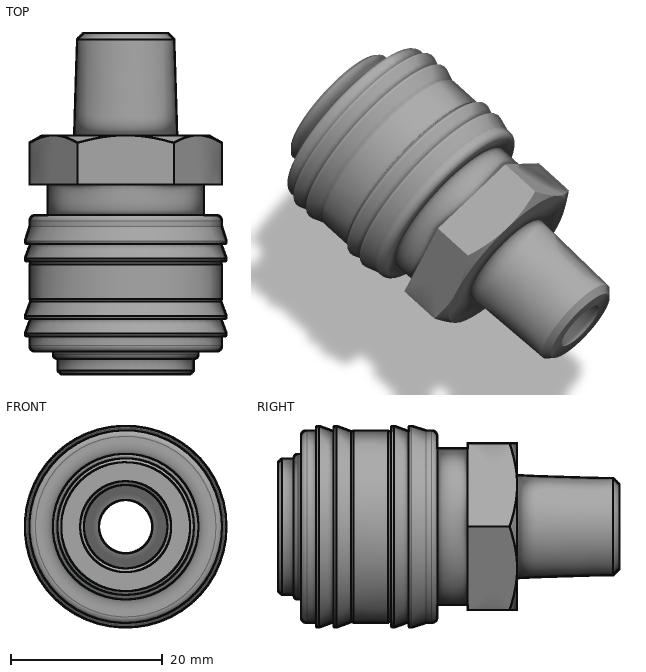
import cadquery as cq
import math


nose_radius = 9.0
nose_chamfer = 0.5
collar_start = 2.05
collar_radius = 9.6
collar_fillet = 0.6

sleeve_start = 3.0
sleeve_end = 21.0
sleeve_radius = 12.7
sleeve_fillet = 0.8

rib_crest_radius = 13.3
rib_root_radius = 12.6
rib_pitch = 2.3
rib_crest_width = 0.1
rib_fillet = 0.3
front_rib_start = 5.0
front_rib_end = front_rib_start + 2 * rib_pitch
rear_rib_start = 14.9
rear_rib_end = rear_rib_start + 2 * rib_pitch
band_start = 9.95
band_end = 14.5

neck_radius = 10.35
hex_start = 25.0
hex_end = 31.5
hex_flats = 22.0
hex_chamfer_angle = 30.0

total_length = 45.0
gauge_length = 6.0
gauge_radius = 13.157 / 2
radial_taper = 1 / 32
thread_chamfer = 0.85

through_radius = 3.5
socket_radius = 6.0
socket_depth = 4.5
inner_radius = 5.5
inner_depth = sleeve_end


def revolve_about_axis(profile):
    """Turn a closed (radius, Y) profile a full revolution about the Y axis."""
    return profile.close().revolve(360, (0, 0, 0), (0, 1, 0))


def cylinder(radius, start, end):
    """Solid cylinder on the Y axis between two Y positions."""
    return cq.Workplane("XZ", origin=(0, start, 0)).circle(radius).extrude(start - end)


def make_nose():
    """Chamfered nose with a rounded collar behind it."""
    nose = cylinder(nose_radius, 0, sleeve_start)
    nose = nose.faces("<Y").chamfer(nose_chamfer)
    collar = cylinder(collar_radius, collar_start, sleeve_start)
    collar = collar.faces("<Y").edges().fillet(collar_fillet)
    return nose.union(collar)


def add_rib(profile, start, end, end_radius):
    """Append one rib to a profile that has reached the rib's flat side at the root."""
    crest_start = start + rib_fillet
    arc_inset = rib_fillet * (1 - math.sqrt(0.5))
    return (
        profile.lineTo(rib_crest_radius - rib_fillet, start)
        .threePointArc(
            (rib_crest_radius - arc_inset, start + arc_inset),
            (rib_crest_radius, crest_start),
        )
        .lineTo(rib_crest_radius, crest_start + rib_crest_width)
        .lineTo(end_radius, end)
    )


def make_sleeve():
    """Sleeve with a plain band between two pairs of grip ribs."""
    profile = (
        cq.Workplane("XY")
        .moveTo(0, sleeve_start)
        .lineTo(sleeve_radius, sleeve_start)
        .lineTo(sleeve_radius, front_rib_start)
    )
    front_valley = front_rib_start + rib_pitch
    profile = add_rib(profile, front_rib_start, front_valley, rib_root_radius)
    profile = add_rib(profile, front_valley, front_rib_end, rib_root_radius)
    profile = (
        profile.lineTo(rib_root_radius, band_start)
        .lineTo(sleeve_radius, band_start)
        .lineTo(sleeve_radius, band_end)
        .lineTo(rib_root_radius, band_end)
        .lineTo(rib_root_radius, rear_rib_start)
    )
    rear_valley = rear_rib_start + rib_pitch
    profile = add_rib(profile, rear_rib_start, rear_valley, rib_root_radius)
    profile = add_rib(profile, rear_valley, rear_rib_end, sleeve_radius)
    profile = profile.lineTo(sleeve_radius, sleeve_end).lineTo(0, sleeve_end)
    sleeve = revolve_about_axis(profile)
    return sleeve.faces("<Y or >Y").edges().fillet(sleeve_fillet)


def make_hexagon():
    """Hexagon with flats facing +Z and -Z, its rear corners turned off conically."""
    corner_radius = hex_flats / 2 / math.cos(math.pi / 6)
    prism = (
        cq.Workplane("XZ", origin=(0, hex_start, 0))
        .polygon(6, 2 * corner_radius)
        .extrude(hex_start - hex_end)
    )
    face_radius = hex_flats / 2
    chamfer_drop = (corner_radius - face_radius) * math.tan(math.radians(hex_chamfer_angle))
    envelope = revolve_about_axis(
        cq.Workplane("XY")
        .moveTo(0, hex_start)
        .lineTo(corner_radius, hex_start)
        .lineTo(corner_radius, hex_end - chamfer_drop)
        .lineTo(face_radius, hex_end)
        .lineTo(0, hex_end)
    )
    return prism.intersect(envelope)


def thread_radius(y):
    """Radius of the thread cone at a position along Y."""
    gauge_plane = total_length - gauge_length
    return gauge_radius + (gauge_plane - y) * radial_taper


def make_thread():
    """Conical thread body with a chamfered tip."""
    chamfer_start = total_length - thread_chamfer
    return revolve_about_axis(
        cq.Workplane("XY")
        .moveTo(0, hex_end)
        .lineTo(thread_radius(hex_end), hex_end)
        .lineTo(thread_radius(chamfer_start), chamfer_start)
        .lineTo(thread_radius(chamfer_start) - thread_chamfer, total_length)
        .lineTo(0, total_length)
    )


def make_bore():
    """Stepped bore: entry socket, 45 degree shoulder, inner chamber, through hole."""
    shoulder_end = socket_depth + socket_radius - inner_radius
    return revolve_about_axis(
        cq.Workplane("XY")
        .lineTo(socket_radius, 0)
        .lineTo(socket_radius, socket_depth)
        .lineTo(inner_radius, shoulder_end)
        .lineTo(inner_radius, inner_depth)
        .lineTo(through_radius, inner_depth)
        .lineTo(through_radius, total_length)
        .lineTo(0, total_length)
    )


body = make_nose().union(make_sleeve())
body = body.union(cylinder(neck_radius, sleeve_end, hex_start))
body = body.union(make_hexagon()).union(make_thread())
result = body.cut(make_bore())